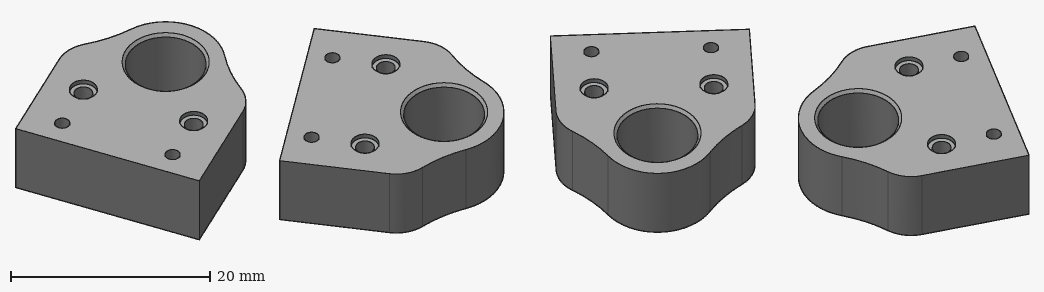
import cadquery as cq
import math

total_length = 21.0
thickness = 8.0
half_width = 10.0
bore_y = 15.0

lobe_radius = total_length - bore_y
shoulder_radius = 4.0
blend_radius = 15.0
shoulder_y = 11.2

bore_radius = 4.05
bore_chamfer = 0.32

hole_x = 6.0
screw_y = 8.0
screw_radius = 0.95
counterbore_radius = 1.4
counterbore_depth = 0.5
pin_y = 2.56
pin_radius = 0.75


def toward(start, end, distance):
    """Point at the given distance from start, in the direction of end."""
    fraction = distance / math.dist(start, end)
    return tuple(s + (e - s) * fraction for s, e in zip(start, end))


def mirrored(point):
    return -point[0], point[1]


def circle_intersection_right(centre_a, radius_a, centre_b, radius_b):
    """Intersection of two circles lying right of the direction a to b."""
    gap = math.dist(centre_a, centre_b)
    along = (gap**2 + radius_a**2 - radius_b**2) / (2 * gap)
    across = math.sqrt(radius_a**2 - along**2)
    ux = (centre_b[0] - centre_a[0]) / gap
    uy = (centre_b[1] - centre_a[1]) / gap
    return (
        centre_a[0] + along * ux + across * uy,
        centre_a[1] + along * uy - across * ux,
    )


def make_body():
    """Block with rounded shoulders blended tangentially into the bore lobe."""
    lobe_centre = (0, bore_y)
    shoulder_centre = (half_width - shoulder_radius, shoulder_y)
    blend_centre = circle_intersection_right(
        shoulder_centre,
        shoulder_radius + blend_radius,
        lobe_centre,
        lobe_radius + blend_radius,
    )
    side_end = (half_width, shoulder_y)
    shoulder_end = toward(shoulder_centre, blend_centre, shoulder_radius)
    lobe_start = toward(lobe_centre, blend_centre, lobe_radius)
    chord_middle = tuple((a + b) / 2 for a, b in zip(shoulder_end, lobe_start))
    blend_middle = toward(blend_centre, chord_middle, blend_radius)
    corner_middle = tuple((a + b) / 2 for a, b in zip(side_end, shoulder_end))
    shoulder_middle = toward(shoulder_centre, corner_middle, shoulder_radius)
    lobe_top = (0, total_length)

    return (
        cq.Workplane("XY")
        .moveTo(-half_width, 0)
        .lineTo(half_width, 0)
        .lineTo(*side_end)
        .threePointArc(shoulder_middle, shoulder_end)
        .threePointArc(blend_middle, lobe_start)
        .threePointArc(lobe_top, mirrored(lobe_start))
        .threePointArc(mirrored(blend_middle), mirrored(shoulder_end))
        .threePointArc(mirrored(shoulder_middle), mirrored(side_end))
        .close()
        .extrude(thickness)
    )


def make_bore():
    """Through bore with a chamfered mouth on the top face."""
    mouth_radius = bore_radius + bore_chamfer
    return (
        cq.Workplane("XZ")
        .polyline([
            (0, 0),
            (bore_radius, 0),
            (bore_radius, thickness - bore_chamfer),
            (mouth_radius, thickness),
            (0, thickness),
        ])
        .close()
        .revolve(360, (0, 0), (0, 1))
        .translate((0, bore_y, 0))
    )


def hole_pair(y, radius, depth):
    """Two cylinders sunk from the top face, mirrored about X = 0."""
    return (
        cq.Workplane("XY", origin=(0, 0, thickness))
        .pushPoints([(-hole_x, y), (hole_x, y)])
        .circle(radius)
        .extrude(-depth)
    )


result = (
    make_body()
    .cut(make_bore())
    .cut(hole_pair(screw_y, screw_radius, thickness))
    .cut(hole_pair(screw_y, counterbore_radius, counterbore_depth))
    .cut(hole_pair(pin_y, pin_radius, thickness))
)